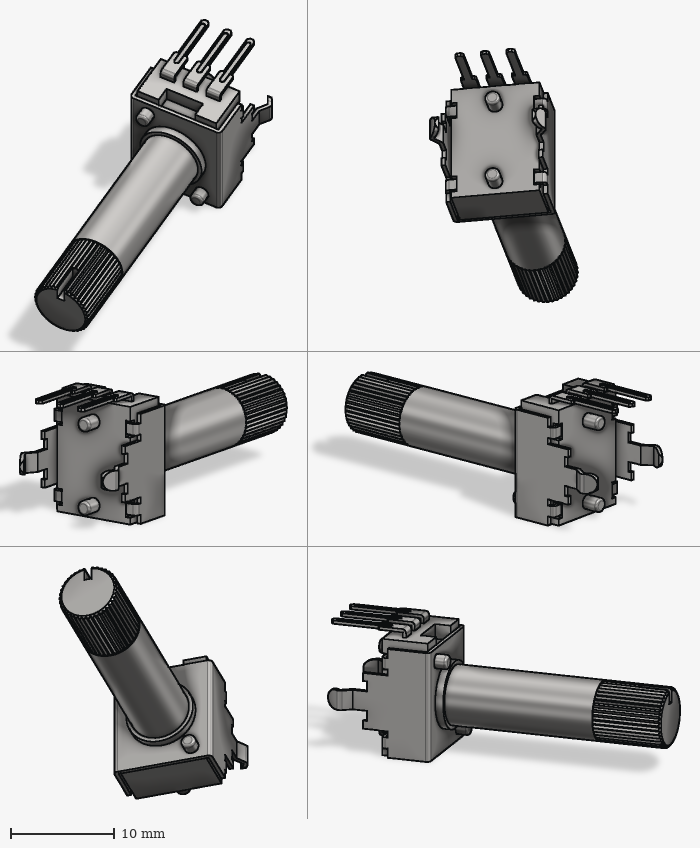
import cadquery as cq
import math


sheet = 0.4
bracket_half_width = 5.0
bracket_half_height = 5.5
wall_depth = 4.3
prong_outer_half = 2.82
prong_inner_half = 2.0
prong_rear = 6.85
prong_notch_rear = 6.45
leg_half_height = 1.0
leg_bend_start = 7.92
leg_tip_rear = 10.5
leg_peak = (5.78, 9.08)
leg_tip_x = 4.95
kink_radius = 0.48

hook_offset_z = 4.0
hook_height = 1.12
hook_rear = 5.0
hook_reach = 3.8

body_half_width = 4.35
body_top = 6.3
body_rear = 5.13
window_width = 4.0
window_rear = 2.0
window_depth = 1.5
hook_recess_height = 1.63
hook_recess_front = 4.5

post_radius = 0.7
post_offset_x = 3.0
post_offset_z = 4.18
front_post_length = 1.25
front_post_rounding = 0.27
rear_post_rounding = 0.25

bushing_radius = 3.4
bushing_length = 0.8
shaft_radius = 3.0
shaft_length = 23.05
knurl_length = 7.0
knurl_teeth = 40
knurl_depth = 0.2
end_chamfer_length = 0.25
end_face_radius = 2.7
slot_width = 0.75
slot_length = 3.1
slot_floor = 1.5

terminal_pitch = 2.5
terminal_top = 7.15
terminal_thickness = 0.35
terminal_front = 3.05
terminal_rear = 10.95
terminal_bend_radius = 0.4
shoulder_width = 1.5
shoulder_rear = 5.98
shoulder_chamfer = 0.17
lead_width = 0.8
lead_chamfer = 0.25
groove_width = 0.5
groove_front = 4.72
groove_rear = 10.47
groove_depth = 0.1


def block(x_range, y_range, z_range):
    """Axis-aligned box given by its limits along X, Y and Z."""
    (x0, x1), (y0, y1), (z0, z1) = x_range, y_range, z_range
    return cq.Workplane("XY").box(x1 - x0, y1 - y0, z1 - z0, centered=False).translate((x0, y0, z0))


def rod(radius, front, rear, x=0, z=0):
    """Cylinder along Y from front to rear."""
    return cq.Workplane("XZ", origin=(x, rear, z)).circle(radius).extrude(rear - front)


def front_post_positions():
    return [(-post_offset_x, post_offset_z), (post_offset_x, -post_offset_z)]


def mirrored(shape):
    """The shape together with its mirror image across the centre plane X = 0."""
    return shape.union(shape.mirror("YZ"))


def offset_path(points, distance):
    """Open path shifted to its left by a distance, with mitred corners."""
    headings = [math.atan2(q[1] - p[1], q[0] - p[0]) for p, q in zip(points, points[1:])]
    before = [headings[0]] + headings
    after = headings + [headings[-1]]
    shifted = []
    for (x, y), a, b in zip(points, before, after):
        normal = (a + b) / 2 + math.pi / 2
        reach = distance / math.cos((b - a) / 2)
        shifted.append((x + reach * math.cos(normal), y + reach * math.sin(normal)))
    return shifted


def wall_outline():
    """Side wall with its prongs and the leg, as seen along X."""
    upper = [
        (0, bracket_half_height),
        (wall_depth, bracket_half_height),
        (wall_depth, prong_outer_half),
        (prong_rear, prong_outer_half),
        (prong_rear, prong_inner_half),
        (prong_notch_rear, prong_inner_half),
        (prong_notch_rear, leg_half_height),
    ]
    lower = [(y, -z) for y, z in reversed(upper)]
    round_centre = leg_tip_rear - leg_half_height
    outline = cq.Workplane("YZ").polyline(upper).lineTo(round_centre, leg_half_height)
    outline = outline.threePointArc((leg_tip_rear, 0), (round_centre, -leg_half_height))
    return outline.polyline(lower, includeCurrent=True).close()


def kinked_wall():
    """Right side wall: a kinked sheet trimmed to the wall outline."""
    outer = [
        (bracket_half_width, 0),
        (bracket_half_width, leg_bend_start),
        leg_peak,
        (leg_tip_x, leg_tip_rear),
    ]
    inner = offset_path(outer, sheet)
    strip = cq.Workplane("XY").polyline(outer + inner[::-1]).close()
    strip = strip.extrude(bracket_half_height, both=True)
    kink = cq.selectors.NearestToPointSelector((leg_peak[0], leg_peak[1], 0))
    strip = strip.edges("|Z").edges(kink).fillet(kink_radius)
    return strip.intersect(wall_outline().extrude(2 * bracket_half_width))


def wall_hook(z):
    """Tab that leaves the right wall rearward and folds inward behind the body."""
    half = hook_height / 2
    heights = (z - half, z + half)
    tab = block((bracket_half_width - sheet, bracket_half_width), (wall_depth, hook_rear), heights)
    fold = block((hook_reach, bracket_half_width), (hook_rear - sheet, hook_rear), heights)
    return tab.union(fold).edges("|Z and >X and >Y").fillet(sheet)


def make_bracket():
    heights = (-bracket_half_height, bracket_half_height)
    plate = block((-bracket_half_width, bracket_half_width), (0, sheet), heights)
    wall = kinked_wall()
    for z in (hook_offset_z, -hook_offset_z):
        wall = wall.union(wall_hook(z))
    bracket = plate.union(mirrored(wall)).edges("|Z and <Y").fillet(sheet)
    bracket = bracket.cut(rod(bushing_radius, 0, sheet))
    for x, z in front_post_positions():
        bracket = bracket.cut(rod(post_radius, 0, sheet, x, z))
    return bracket


def insulating_body():
    width = (-body_half_width, body_half_width)
    body = block(width, (sheet, body_rear), (-bracket_half_height, body_top))
    window = block(
        (-window_width / 2, window_width / 2), (sheet, window_rear), (body_top - window_depth, body_top)
    )
    body = body.cut(window)
    half = hook_recess_height / 2
    for z in (hook_offset_z, -hook_offset_z):
        recess = block((hook_reach, body_half_width), (hook_recess_front, body_rear), (z - half, z + half))
        body = body.cut(mirrored(recess))
    return body


def front_posts():
    posts = cq.Workplane("XY")
    for x, z in front_post_positions():
        post = rod(post_radius, -front_post_length, sheet, x, z)
        posts = posts.add(post.faces("<Y").edges().fillet(front_post_rounding))
    return posts.combine()


def rear_posts():
    posts = cq.Workplane("XY")
    for z in (post_offset_z, -post_offset_z):
        post = rod(post_radius, body_rear, prong_rear, z=z)
        posts = posts.add(post.faces(">Y").edges().fillet(rear_post_rounding))
    return posts.combine()


def knurl_outline():
    """Toothed outline with pointed teeth on the shaft radius."""
    points = []
    for i in range(2 * knurl_teeth):
        radius = shaft_radius - knurl_depth * (i % 2)
        angle = math.pi / 2 + i * math.pi / knurl_teeth
        points.append((radius * math.cos(angle), radius * math.sin(angle)))
    return points


def knurled_end():
    start = shaft_length - knurl_length
    knurl = cq.Workplane("XZ", origin=(0, -start, 0)).polyline(knurl_outline()).close().extrude(knurl_length)
    envelope = (
        cq.Workplane("XY")
        .moveTo(0, -start)
        .lineTo(shaft_radius, -start)
        .lineTo(shaft_radius, end_chamfer_length - shaft_length)
        .lineTo(end_face_radius, -shaft_length)
        .lineTo(0, -shaft_length)
        .close()
        .revolve(360, (0, 0, 0), (0, 1, 0))
    )
    slot = block(
        (-slot_width / 2, slot_width / 2),
        (-shaft_length, slot_length - shaft_length),
        (slot_floor, shaft_radius),
    )
    return knurl.intersect(envelope).cut(slot)


def bushing_and_shaft():
    bushing = rod(bushing_radius, -bushing_length, sheet)
    shaft = rod(shaft_radius, knurl_length - shaft_length, sheet)
    return bushing.union(shaft).union(knurled_end())


def terminal(x):
    """Terminal that rises from the body, bends rearward and narrows to a grooved lead."""
    bottom = terminal_top - terminal_thickness
    shoulder_half = shoulder_width / 2
    lead_half = lead_width / 2
    upright = block(
        (-shoulder_half, shoulder_half),
        (terminal_front, terminal_front + terminal_thickness),
        (body_top, terminal_top),
    )
    shoulder = block(
        (-shoulder_half, shoulder_half), (terminal_front, shoulder_rear), (bottom, terminal_top)
    )
    shoulder = shoulder.edges("|Z and >Y").chamfer(shoulder_chamfer)
    lead = block((-lead_half, lead_half), (terminal_front, terminal_rear), (bottom, terminal_top))
    lead = lead.edges("|Z and >Y").chamfer(lead_chamfer)
    blade = upright.union(shoulder).union(lead)
    blade = blade.edges("|X and >Z and <Y").fillet(terminal_bend_radius)
    groove = (
        cq.Workplane("XY", origin=(0, (groove_front + groove_rear) / 2, terminal_top))
        .slot2D(groove_rear - groove_front, groove_width, 90)
        .extrude(-groove_depth)
    )
    return blade.cut(groove).translate((x, 0, 0))


def make_core():
    core = insulating_body()
    for feature in (bushing_and_shaft(), front_posts(), rear_posts()):
        core = core.union(feature)
    for i in (-1, 0, 1):
        core = core.union(terminal(i * terminal_pitch))
    return core


bracket = make_bracket()
core = make_core()

result = cq.Compound.makeCompound([bracket.solids().val(), core.solids().val()])